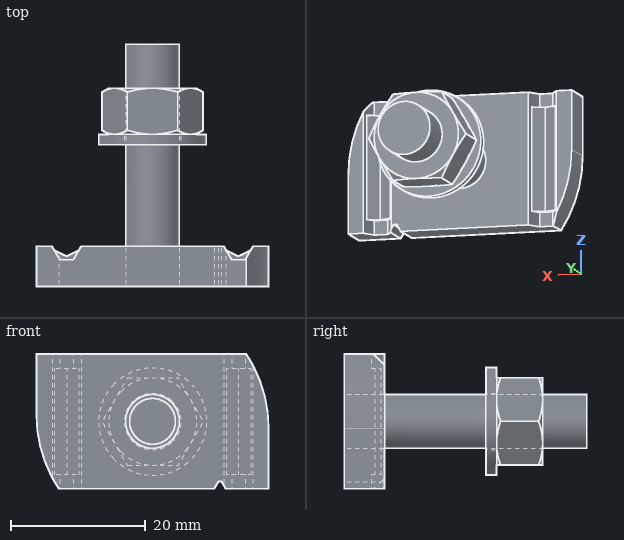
import cadquery as cq
import math

overall_length = 36.0

plate_length = 34.5
plate_height = 20.0
plate_thickness = 6.0
flat_end_x = 13.9
arc_start_z = 1.05

groove_x = 12.75
groove_width = 4.32
groove_depth = 1.98
wall_angle = math.radians(60)
mouth_length = 2.15
ridge_shoulder = 0.6
ridge_valley = 1.48

notch_x = 10.0
notch_width = 1.7
notch_depth = 1.08

stud_diameter = 8.0
tip_diameter = 6.8
tip_length = 0.05

washer_y = 21.02
washer_thickness = 1.6
washer_diameter = 16.0
washer_bore = 8.4
nut_thickness = 6.85
nut_across_flats = 13.0
nut_chamfer_angle = math.radians(30)

half_length = plate_length / 2
half_height = plate_height / 2
nut_y = washer_y + washer_thickness


def cylinder(diameter, start_y, length):
    """Cylinder on the Y axis, growing toward +Y."""
    return cq.Workplane("XZ", origin=(0, start_y, 0)).circle(diameter / 2).extrude(-length)


def plate_blank():
    """Rectangle with two diagonally opposite corners rounded tangent to the ends."""
    arc_start = (half_length, -arc_start_z)
    opposite_start = (-half_length, arc_start_z)
    return (
        cq.Workplane("XZ")
        .moveTo(-half_length, half_height)
        .lineTo(flat_end_x, half_height)
        .threePointArc(end_arc_middle(), arc_start)
        .lineTo(half_length, -half_height)
        .lineTo(-flat_end_x, -half_height)
        .threePointArc(tuple(-value for value in end_arc_middle()), opposite_start)
        .close()
        .extrude(-plate_thickness)
    )


def end_arc_middle():
    """Middle point of the rounded end on the +X side."""
    inset = half_length - flat_end_x
    rise = half_height + arc_start_z
    radius = (inset**2 + rise**2) / (2 * inset)
    half_sweep = math.asin(rise / radius) / 2
    return (
        half_length - radius * (1 - math.cos(half_sweep)),
        radius * math.sin(half_sweep) - arc_start_z,
    )


def groove(center_x):
    """Trapezoidal groove along Z whose floor rises to a shallow V between its mouths."""
    def at(offset, depth):
        return (center_x + offset, plate_thickness - depth)

    def half_width(depth):
        return groove_width / 2 - depth / math.tan(wall_angle)

    top, shoulder, floor = (half_width(depth) for depth in (0, ridge_shoulder, groove_depth))
    cutter = (
        cq.Workplane("XY", origin=(0, 0, -half_height))
        .polyline([
            at(-top, 0),
            at(-shoulder, ridge_shoulder),
            at(0, ridge_valley),
            at(shoulder, ridge_shoulder),
            at(top, 0),
        ])
        .close()
        .extrude(plate_height)
    )
    for mouth_z in (-half_height, half_height - mouth_length):
        mouth = (
            cq.Workplane("XY", origin=(0, 0, mouth_z))
            .polyline([at(-top, 0), at(-floor, groove_depth), at(floor, groove_depth), at(top, 0)])
            .close()
            .extrude(mouth_length)
        )
        cutter = cutter.union(mouth)
    return cutter


def marking_notch():
    """Trapezoidal notch running through the plate thickness."""
    outer = notch_width / 2
    inner = outer - notch_depth / math.tan(wall_angle)
    return (
        cq.Workplane("XZ", origin=(notch_x, 0, -half_height))
        .polyline([(-outer, 0), (-inner, notch_depth), (inner, notch_depth), (outer, 0)])
        .close()
        .extrude(-plate_thickness)
    )


def make_stud():
    tip = cylinder(tip_diameter, 0, tip_length)
    shank = cylinder(stud_diameter, tip_length, overall_length - tip_length)
    return tip.union(shank)


def make_plate():
    plate = plate_blank().cut(marking_notch())
    for side in (-1, 1):
        plate = plate.cut(groove(side * groove_x))
    return plate.cut(cylinder(stud_diameter, 0, plate_thickness))


def make_washer():
    washer = cylinder(washer_diameter, washer_y, washer_thickness)
    return washer.cut(cylinder(washer_bore, washer_y, washer_thickness))


def make_nut():
    """Hexagon nut with conical chamfers on the corners of both faces."""
    across_corners = nut_across_flats / math.cos(math.pi / 6)
    corner_radius = across_corners / 2
    face_radius = nut_across_flats / 2
    chamfer = (corner_radius - face_radius) * math.tan(nut_chamfer_angle)
    hexagon = (
        cq.Workplane("XZ", origin=(0, nut_y, 0))
        .polygon(6, across_corners)
        .extrude(-nut_thickness)
    )
    end_y = nut_y + nut_thickness
    envelope = (
        cq.Workplane("XY")
        .polyline([
            (0, nut_y),
            (face_radius, nut_y),
            (corner_radius, nut_y + chamfer),
            (corner_radius, end_y - chamfer),
            (face_radius, end_y),
            (0, end_y),
        ])
        .close()
        .revolve(360, (0, 0, 0), (0, 1, 0))
    )
    return hexagon.intersect(envelope).cut(cylinder(stud_diameter, nut_y, nut_thickness))


plate = make_plate()
stud = make_stud()
washer = make_washer()
nut = make_nut()

result = cq.Compound.makeCompound([body.solids().val() for body in (plate, stud, washer, nut)])